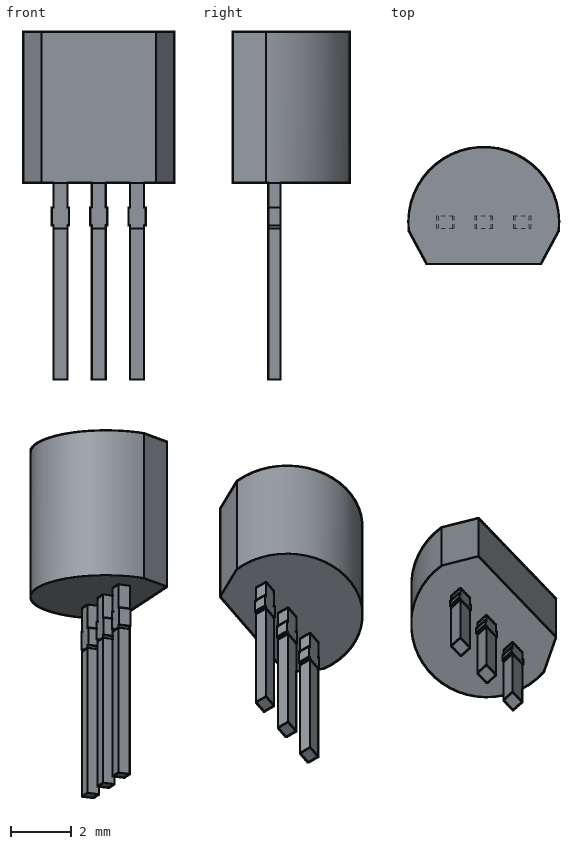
import cadquery as cq
import math

TOTAL_HEIGHT = 11.5

HOUSING_RADIUS = 2.5
HOUSING_HEIGHT = 5.0
FLAT_DISTANCE = 1.38
FLAT_WIDTH = 3.77
ARC_END_DISTANCE = 0.28
HOUSING_BOTTOM = TOTAL_HEIGHT - HOUSING_HEIGHT

LEAD_COUNT = 3
LEAD_PITCH = 1.26
LEAD_WIDTH = 0.47
LEAD_DEPTH = 0.41
LOWER_LEAD_LENGTH = 5.0

STUB_LENGTH = HOUSING_BOTTOM - LOWER_LEAD_LENGTH
SHOULDER_WIDTH = 0.58
SHOULDER_HEIGHT = 0.6
NECK_HEIGHT = 0.09


def make_housing():
    """D-shaped body: a large arc closed by two slanted sides and a front flat."""
    half_flat = FLAT_WIDTH / 2
    arc_end_x = math.sqrt(HOUSING_RADIUS**2 - ARC_END_DISTANCE**2)
    return (
        cq.Workplane("XY")
        .workplane(offset=HOUSING_BOTTOM)
        .moveTo(-half_flat, -FLAT_DISTANCE)
        .lineTo(half_flat, -FLAT_DISTANCE)
        .lineTo(arc_end_x, -ARC_END_DISTANCE)
        .threePointArc((0, HOUSING_RADIUS), (-arc_end_x, -ARC_END_DISTANCE))
        .close()
        .extrude(HOUSING_HEIGHT)
    )


def make_bar(x, bottom, width, height):
    """Rectangular bar of lead thickness, standing on the given height."""
    return (
        cq.Workplane("XY", origin=(x, 0, bottom))
        .rect(width, LEAD_DEPTH)
        .extrude(height)
    )


def make_lower_lead(x):
    return make_bar(x, 0, LEAD_WIDTH, LOWER_LEAD_LENGTH)


def make_stub(x):
    """Upper lead piece with a wider shoulder just above its lower end."""
    shank = make_bar(x, LOWER_LEAD_LENGTH, LEAD_WIDTH, STUB_LENGTH)
    shoulder_bottom = LOWER_LEAD_LENGTH + NECK_HEIGHT
    shoulder = make_bar(x, shoulder_bottom, SHOULDER_WIDTH, SHOULDER_HEIGHT)
    return shank.union(shoulder).clean()


housing = make_housing()
lower_leads = []
stubs = []
for index in range(LEAD_COUNT):
    lead_x = (index - (LEAD_COUNT - 1) / 2) * LEAD_PITCH
    lower_leads.append(make_lower_lead(lead_x).val())
    stubs.append(make_stub(lead_x).val())

result = cq.Compound.makeCompound([housing.val(), *stubs, *lower_leads])